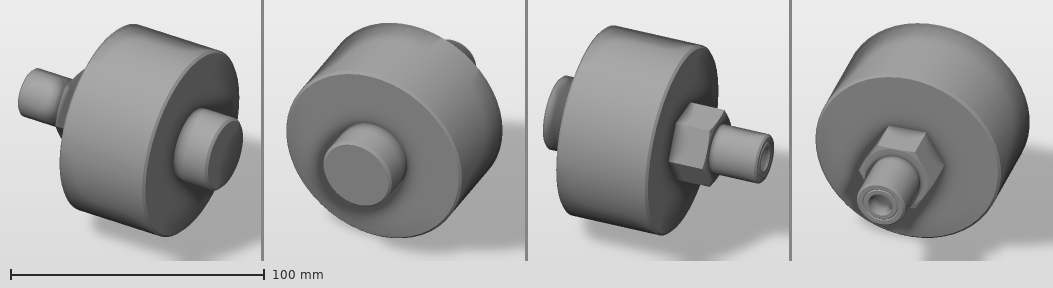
import cadquery as cq
import math

spigot_length = 20.0
hex_length = 14.95
body_length = 39.0
boss_length = 15.0

spigot_diameter = 20.0
hex_across_flats = 27.0
body_diameter = 77.0
boss_diameter = 30.0

spigot_chamfer = 0.8
hex_chamfer_diameter = 26.7
hex_chamfer_angle = 15.0
body_chamfer = 1.0
boss_chamfer = 1.0

bore_diameter = 10.0
bore_depth = spigot_length
groove_mean_diameter = 14.1
groove_depth = 0.4

hex_start = spigot_length
body_start = hex_start + hex_length
boss_start = body_start + body_length


def cylinder(start, length, diameter):
    """Cylinder along +X, centred on the part axis."""
    return cq.Workplane("YZ", origin=(start, 0, 0)).circle(diameter / 2).extrude(length)


def revolve_about_x(profile_points):
    """Solid of revolution from (x, radius) points."""
    profile = cq.Workplane("XY").polyline(profile_points).close()
    return profile.revolve(360, (0, 0, 0), (1, 0, 0))


def make_spigot():
    spigot = cylinder(0, spigot_length, spigot_diameter)
    return spigot.faces("<X").chamfer(spigot_chamfer)


def make_hexagon():
    """Hexagon with corners on the Y axis, its front corners trimmed by a cone."""
    corner_diameter = hex_across_flats / math.cos(math.radians(30))
    hexagon = (
        cq.Workplane("YZ", origin=(hex_start, 0, 0))
        .polygon(6, corner_diameter)
        .extrude(hex_length)
    )
    front_radius = hex_chamfer_diameter / 2
    rear_radius = front_radius + hex_length / math.tan(math.radians(hex_chamfer_angle))
    trimming_cone = revolve_about_x([
        (hex_start, 0),
        (hex_start, front_radius),
        (body_start, rear_radius),
        (body_start, 0),
    ])
    return hexagon.intersect(trimming_cone)


def make_body():
    body = cylinder(body_start, body_length, body_diameter)
    return body.faces("<X or >X").chamfer(body_chamfer)


def make_boss():
    boss = cylinder(boss_start, boss_length, boss_diameter)
    return boss.faces(">X").chamfer(boss_chamfer)


def make_sealing_groove():
    """Ring with 45-degree flanks that cuts the V groove."""
    mean_radius = groove_mean_diameter / 2
    return revolve_about_x([
        (0, mean_radius - groove_depth),
        (groove_depth, mean_radius),
        (0, mean_radius + groove_depth),
    ])


result = (
    make_spigot()
    .union(make_hexagon())
    .union(make_body())
    .union(make_boss())
    .cut(cylinder(0, bore_depth, bore_diameter))
    .cut(make_sealing_groove())
)